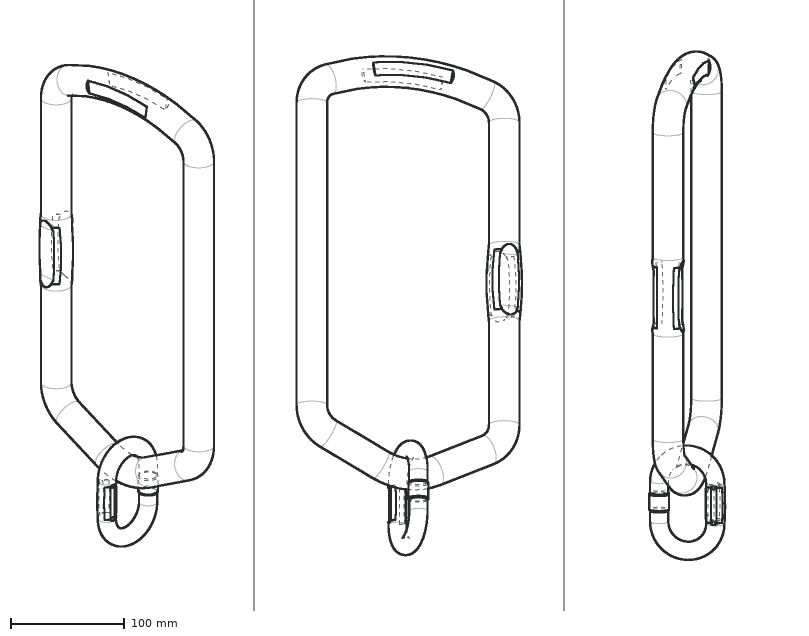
import cadquery as cq
import math

total_height = 453.5

ring_bar_radius = 13.5
ring_half_width = 91.0
crown_radius = 217.5
upper_corner_radius = 24.5
lower_corner_radius = 27.0
keel_radius = 60.0
keel_slope = math.radians(25.5)

crown_flat_length = 74.5
crown_flat_offset = 12.2
crown_flat_end_angle = 45.0

ring_swell_height = 256.5
ring_swell_length = 69.0
ring_swell_radius = 16.0
ring_pad_length = 47.0
ring_ramp_run = 7.5
ring_pad_offset = 11.5
ring_pad_half_width = 9.5
ring_facet_offset = 7.3

link_bar_radius = 8.0
link_width = 68.0
link_height = 103.0
link_thick_diameter = 17.5
collar_length = 16.5
collar_bevel = 1.5
link_pad_length = 29.0
link_ramp_run = 2.5
link_pad_offset = 7.3
link_pad_half_width = 2.5
link_facet_offset = 4.5

link_swell_radius = link_thick_diameter / 2
collar_radius = link_thick_diameter / 2
link_bend_radius = (link_width - link_thick_diameter) / 2
link_straight = link_height - 2 * (link_bend_radius + link_bar_radius)
link_middle_height = link_height / 2
keel_height = link_height - 2 * link_bar_radius - ring_bar_radius


def arc_point(center, radius, angle):
    """Point at an angle, in radians, on a circle given as (x, z) and a radius."""
    return (center[0] + radius * math.cos(angle), center[1] + radius * math.sin(angle))


def swelling(bar_radius, middle_radius, length):
    """Barrel-shaped thickening of a bar along Z, centred on the origin."""
    half = length / 2
    return (
        cq.Workplane("XZ")
        .moveTo(0, -half)
        .lineTo(bar_radius, -half)
        .threePointArc((middle_radius, 0), (bar_radius, half))
        .lineTo(0, half)
        .close()
        .revolve(360, (0, 0, 0), (0, 1, 0))
    )


def pad_cutter(bar_radius, middle_radius, length, pad_length, ramp_run,
               pad_offset, pad_half_width, facet_offset):
    """Material to remove from a swelling along Z to leave a faceted pad on its +Y and -Y sides."""
    clear = 2 * middle_radius
    half_pad = pad_length / 2
    ramp_slope = (bar_radius - pad_offset) / ramp_run
    outer_half = half_pad + (clear - pad_offset) / ramp_slope

    floor = (
        cq.Workplane("YZ")
        .polyline([
            (pad_offset, -half_pad),
            (pad_offset, half_pad),
            (clear, outer_half),
            (clear, -outer_half),
        ])
        .close()
        .extrude(clear, both=True)
    )

    bulge = middle_radius - bar_radius
    curve_radius = ((length / 2) ** 2 + bulge ** 2) / (2 * bulge)
    axis_x = middle_radius - curve_radius
    facet_edge = math.sqrt(middle_radius ** 2 - facet_offset ** 2)
    facet_slope = (pad_offset - facet_offset) / (facet_edge - pad_half_width)
    facet_reach = clear - facet_edge
    facet_length = pad_length + ramp_run
    facet = (
        cq.Workplane("XY")
        .polyline([
            (pad_half_width - (clear - pad_offset) / facet_slope, clear),
            (clear, facet_offset - facet_slope * facet_reach),
            (clear, clear),
        ])
        .close()
        .revolve(360, (axis_x, 0, 0), (axis_x, 1, 0))
        .intersect(cq.Workplane("XY").box(4 * clear, 4 * clear, facet_length))
    )
    one_side = floor.union(facet).union(facet.mirror("YZ"))
    return one_side.union(one_side.mirror("XZ"))


def ring_path():
    """Closed centreline of the ring in the XZ plane, and the height where it starts."""
    crown_center = (0, total_height - ring_bar_radius - crown_radius)
    upper_x = ring_half_width - upper_corner_radius
    upper_z = crown_center[1] + math.sqrt((crown_radius - upper_corner_radius) ** 2 - upper_x ** 2)
    crown_angle = math.atan2(upper_z - crown_center[1], upper_x)

    keel_center = (0, keel_height + keel_radius)
    keel_angle = keel_slope - math.pi / 2
    keel_end = arc_point(keel_center, keel_radius, keel_angle)
    lower_x = ring_half_width - lower_corner_radius
    slope_end_x = lower_x + lower_corner_radius * math.sin(keel_slope)
    slope_end_z = keel_end[1] + (slope_end_x - keel_end[0]) * math.tan(keel_slope)
    lower_z = slope_end_z + lower_corner_radius * math.cos(keel_slope)

    upper_mid = arc_point((upper_x, upper_z), upper_corner_radius, crown_angle / 2)
    lower_mid = arc_point((lower_x, lower_z), lower_corner_radius, keel_angle / 2)
    crown_end = arc_point(crown_center, crown_radius, crown_angle)

    def left(point):
        return (-point[0], point[1])

    path = (
        cq.Workplane("XZ")
        .moveTo(-ring_half_width, lower_z)
        .lineTo(-ring_half_width, upper_z)
        .threePointArc(left(upper_mid), left(crown_end))
        .threePointArc((0, total_height - ring_bar_radius), crown_end)
        .threePointArc(upper_mid, (ring_half_width, upper_z))
        .lineTo(ring_half_width, lower_z)
        .threePointArc(lower_mid, (slope_end_x, slope_end_z))
        .lineTo(*keel_end)
        .threePointArc((0, keel_height), left(keel_end))
        .lineTo(-slope_end_x, slope_end_z)
        .threePointArc(left(lower_mid), (-ring_half_width, lower_z))
        .close()
    )
    return path, lower_z


def crown_flats():
    """Material to remove from the front and back of the arched top, with sloping ends."""
    center_z = total_height - ring_bar_radius - crown_radius
    inner_reach = crown_radius - 2 * ring_bar_radius
    outer_reach = crown_radius + 2 * ring_bar_radius
    half_slope = crown_flat_length / 2 / crown_radius
    front = (
        cq.Workplane("XZ", origin=(0, -crown_flat_offset, center_z))
        .polyline([
            (-half_slope * inner_reach, inner_reach),
            (half_slope * inner_reach, inner_reach),
            (half_slope * outer_reach, outer_reach),
            (-half_slope * outer_reach, outer_reach),
        ])
        .close()
        .extrude(ring_bar_radius, taper=-crown_flat_end_angle)
    )
    return front.union(front.mirror("XZ"))


def make_ring():
    path, start_z = ring_path()
    bar = (
        cq.Workplane("XY", origin=(-ring_half_width, 0, start_z))
        .circle(ring_bar_radius)
        .sweep(path)
    )
    swell_place = (-ring_half_width, 0, ring_swell_height)
    swell = swelling(ring_bar_radius, ring_swell_radius, ring_swell_length)
    pads = pad_cutter(ring_bar_radius, ring_swell_radius, ring_swell_length, ring_pad_length,
                      ring_ramp_run, ring_pad_offset, ring_pad_half_width, ring_facet_offset)
    ring = bar.union(swell.translate(swell_place))
    return ring.cut(pads.translate(swell_place)).cut(crown_flats())


def link_bar():
    """Plain oval of round bar in the YZ plane."""
    low_z = link_middle_height - link_straight / 2
    high_z = link_middle_height + link_straight / 2
    path = (
        cq.Workplane("YZ")
        .moveTo(-link_bend_radius, low_z)
        .lineTo(-link_bend_radius, high_z)
        .threePointArc((0, high_z + link_bend_radius), (link_bend_radius, high_z))
        .lineTo(link_bend_radius, low_z)
        .threePointArc((0, low_z - link_bend_radius), (-link_bend_radius, low_z))
        .close()
    )
    return (
        cq.Workplane("XY", origin=(0, -link_bend_radius, low_z))
        .circle(link_bar_radius)
        .sweep(path)
    )


def collar():
    """Thin collar with bevelled ends around a bar along Z, centred on the origin."""
    half = collar_length / 2
    return (
        cq.Workplane("XZ")
        .polyline([
            (0, -half),
            (link_bar_radius, -half),
            (collar_radius, -half + collar_bevel),
            (collar_radius, half - collar_bevel),
            (link_bar_radius, half),
            (0, half),
        ])
        .close()
        .revolve(360, (0, 0, 0), (0, 1, 0))
    )


def make_link():
    front_leg = (0, -link_bend_radius, link_middle_height)
    back_leg = (0, link_bend_radius, link_middle_height)
    swell = swelling(link_bar_radius, link_swell_radius, link_straight)
    pads = pad_cutter(link_bar_radius, link_swell_radius, link_straight, link_pad_length,
                      link_ramp_run, link_pad_offset, link_pad_half_width, link_facet_offset)
    pads = pads.rotate((0, 0, 0), (0, 0, 1), 90)
    link = link_bar().union(swell.translate(front_leg)).union(collar().translate(back_leg))
    return link.cut(pads.translate(front_leg))


ring = make_ring()
link = make_link()

result = cq.Compound.makeCompound([*ring.solids().vals(), *link.solids().vals()])